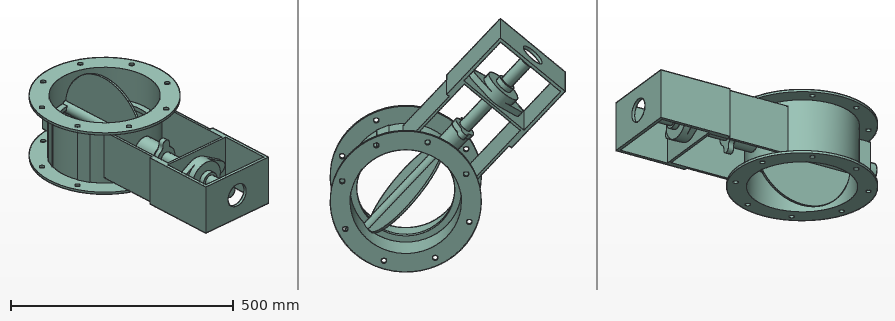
import cadquery as cq
import math

BORE_DIAMETER = 250
BODY_WALL = 4
BODY_RADIUS = BORE_DIAMETER / 2 + BODY_WALL
BODY_LENGTH = 160

FLANGE_DIAMETER = 340
FLANGE_THICKNESS = 6
BOLT_CIRCLE_DIAMETER = 302
BOLT_HOLE_DIAMETER = 12
BOLT_COUNT = 8

DISC_DIAMETER = BORE_DIAMETER
DISC_THICKNESS = 5
SEAT_BORE_DIAMETER = 220
SEAT_THICKNESS = 10

SHAFT_DIAMETER = 30
SHAFT_END_X = 408.5

HUB_DIAMETER = 50
HUB_START_X = -182
HUB_BLOCK_START_X = -150
HUB_BLOCK_SIDE = 100

GLAND_END_X = 186.5
GLAND_FLANGE_DIAMETER = 54
GLAND_FLANGE_THICKNESS = 13.5
GLAND_LUG_RADIUS = 10
GLAND_LUG_OFFSET = 36
GLAND_LUG_FILLET = 12

BRACKET_HEIGHT = 120
INNER_FRAME_WIDTH = 180
INNER_FRAME_WALL = 6
INNER_FRAME_END_X = 299.5
OUTER_FRAME_WALL = 7.5
OUTER_FRAME_WIDTH = INNER_FRAME_WIDTH + 2 * OUTER_FRAME_WALL
OUTER_FRAME_START_X = 249
OUTER_FRAME_END_X = 431
ACCESS_HOLE_DIAMETER = 56

BEARING_DIAMETER = 87
BEARING_FLANGE_THICKNESS = 15
BEARING_LENGTH = 31.5
BEARING_EAR_RADIUS = 15
BEARING_EAR_OFFSET = 58.5
BEARING_COLLAR_DIAMETER = 42
BEARING_COLLAR_LENGTH = 12.5

STRIP_WIDTH = 30
STRIP_THICKNESS = 3
STRIP_FACE_RADIUS = 129.5
STRIP_ANGLE = 25


def rod_x(diameter, start_x, end_x):
    """Cylinder along the X axis."""
    return cq.Workplane("YZ", origin=(start_x, 0, 0)).circle(diameter / 2).extrude(end_x - start_x)


def block_x(start_x, end_x, width, height):
    """Block centred on the X axis."""
    length = end_x - start_x
    return cq.Workplane("XY").box(length, width, height).translate((start_x + length / 2, 0, 0))


def make_bore():
    return cq.Workplane("XY").circle(BORE_DIAMETER / 2).extrude(BODY_LENGTH / 2, both=True)


def make_flange(bottom_z):
    return (
        cq.Workplane("XY", origin=(0, 0, bottom_z))
        .circle(FLANGE_DIAMETER / 2)
        .extrude(FLANGE_THICKNESS)
        .faces(">Z")
        .workplane()
        .polarArray(BOLT_CIRCLE_DIAMETER / 2, 180 / BOLT_COUNT, 360, BOLT_COUNT)
        .hole(BOLT_HOLE_DIAMETER)
    )


def make_strip(angle):
    """Flat strip between the flanges, turned about Z away from the -Y direction."""
    strip = cq.Workplane("XY").box(STRIP_WIDTH, STRIP_THICKNESS, BODY_LENGTH - FLANGE_THICKNESS)
    strip = strip.translate((0, -STRIP_FACE_RADIUS + STRIP_THICKNESS / 2, 0))
    return strip.rotate((0, 0, 0), (0, 0, 1), angle)


def make_bracket():
    inner_frame = block_x(0, INNER_FRAME_END_X, INNER_FRAME_WIDTH, BRACKET_HEIGHT)
    inner_width = INNER_FRAME_WIDTH - 2 * INNER_FRAME_WALL
    inner_frame = inner_frame.cut(
        block_x(0, INNER_FRAME_END_X - INNER_FRAME_WALL, inner_width, BRACKET_HEIGHT)
    )
    outer_frame = block_x(OUTER_FRAME_START_X, OUTER_FRAME_END_X, OUTER_FRAME_WIDTH, BRACKET_HEIGHT)
    outer_cavity_end_x = OUTER_FRAME_END_X - OUTER_FRAME_WALL
    outer_frame = outer_frame.cut(
        block_x(OUTER_FRAME_START_X, outer_cavity_end_x, INNER_FRAME_WIDTH, BRACKET_HEIGHT)
    )
    outer_frame = outer_frame.cut(rod_x(ACCESS_HOLE_DIAMETER, outer_cavity_end_x, OUTER_FRAME_END_X))
    return inner_frame.union(outer_frame)


def make_gland():
    """Hub with a round end flange that carries one filleted lug above and one below the shaft."""
    flange_end_x = GLAND_END_X + GLAND_FLANGE_THICKNESS
    lug_width = 2 * GLAND_LUG_RADIUS
    lugs = (
        cq.Workplane("YZ", origin=(GLAND_END_X, 0, 0))
        .slot2D(2 * GLAND_LUG_OFFSET + lug_width, lug_width, 90)
        .extrude(GLAND_FLANGE_THICKNESS)
    )
    flange = rod_x(GLAND_FLANGE_DIAMETER, GLAND_END_X, flange_end_x).union(lugs)
    neck_half_height = GLAND_LUG_OFFSET / 2 + GLAND_FLANGE_DIAMETER / 4
    neck_edges = cq.selectors.BoxSelector(
        (GLAND_END_X, -GLAND_FLANGE_DIAMETER / 2, -neck_half_height),
        (flange_end_x, GLAND_FLANGE_DIAMETER / 2, neck_half_height),
    )
    flange = flange.edges("|X").edges(neck_edges).fillet(GLAND_LUG_FILLET)
    return rod_x(HUB_DIAMETER, 0, GLAND_END_X).union(flange)


def make_bearing():
    """Oval flange (tangent outline round the housing and two ears), housing and collar."""
    radius = BEARING_DIAMETER / 2
    tangent_sine = (radius - BEARING_EAR_RADIUS) / BEARING_EAR_OFFSET
    tangent_cosine = math.sqrt(1 - tangent_sine**2)
    housing_y = radius * tangent_sine
    housing_z = radius * tangent_cosine
    ear_y = BEARING_EAR_OFFSET + BEARING_EAR_RADIUS * tangent_sine
    ear_z = BEARING_EAR_RADIUS * tangent_cosine
    tip_y = BEARING_EAR_OFFSET + BEARING_EAR_RADIUS
    flange = (
        cq.Workplane("YZ", origin=(INNER_FRAME_END_X, 0, 0))
        .moveTo(housing_y, housing_z)
        .lineTo(ear_y, ear_z)
        .threePointArc((tip_y, 0), (ear_y, -ear_z))
        .lineTo(housing_y, -housing_z)
        .lineTo(-housing_y, -housing_z)
        .lineTo(-ear_y, -ear_z)
        .threePointArc((-tip_y, 0), (-ear_y, ear_z))
        .lineTo(-housing_y, housing_z)
        .close()
        .extrude(BEARING_FLANGE_THICKNESS)
    )
    housing_end_x = INNER_FRAME_END_X + BEARING_LENGTH
    housing = rod_x(BEARING_DIAMETER, INNER_FRAME_END_X, housing_end_x)
    collar = rod_x(BEARING_COLLAR_DIAMETER, housing_end_x, housing_end_x + BEARING_COLLAR_LENGTH)
    return flange.union(housing).union(collar)


def make_half_seat(side):
    """Half ring: below the shaft axis on the +Y half (side = 1), above it on the -Y half (side = -1)."""
    ring = (
        cq.Workplane("XY")
        .circle(BORE_DIAMETER / 2 + BODY_WALL / 2)
        .circle(SEAT_BORE_DIAMETER / 2)
        .extrude(SEAT_THICKNESS / 2, both=True)
    )
    half_space = (
        cq.Workplane("XY")
        .box(FLANGE_DIAMETER, FLANGE_DIAMETER / 2, SEAT_THICKNESS)
        .translate((0, side * FLANGE_DIAMETER / 4, 0))
    )
    seat_z = -side * SEAT_THICKNESS / 2
    return ring.intersect(half_space).translate((0, 0, seat_z))


def make_housing():
    """Everything outside the bore, with the bore cleared through it."""
    housing = cq.Workplane("XY").circle(BODY_RADIUS).extrude(BODY_LENGTH / 2, both=True)
    for bottom_z in (-BODY_LENGTH / 2, BODY_LENGTH / 2 - FLANGE_THICKNESS):
        housing = housing.union(make_flange(bottom_z))
    for angle in (-STRIP_ANGLE, STRIP_ANGLE):
        housing = housing.union(make_strip(angle))
    housing = housing.union(block_x(HUB_BLOCK_START_X, 0, HUB_BLOCK_SIDE, HUB_BLOCK_SIDE))
    housing = housing.union(rod_x(HUB_DIAMETER, HUB_START_X, 0))
    housing = housing.union(make_gland())
    housing = housing.union(make_bracket())
    return housing.cut(make_bore())


def make_disc():
    """Disc standing in the XZ plane, edge-on to the duct axis."""
    return cq.Workplane("XZ").circle(DISC_DIAMETER / 2).extrude(DISC_THICKNESS / 2, both=True)


result = make_housing()
for seat_side in (1, -1):
    result = result.union(make_half_seat(seat_side))
result = result.union(make_disc())
result = result.union(rod_x(SHAFT_DIAMETER, HUB_BLOCK_START_X, SHAFT_END_X))
result = result.union(make_bearing())